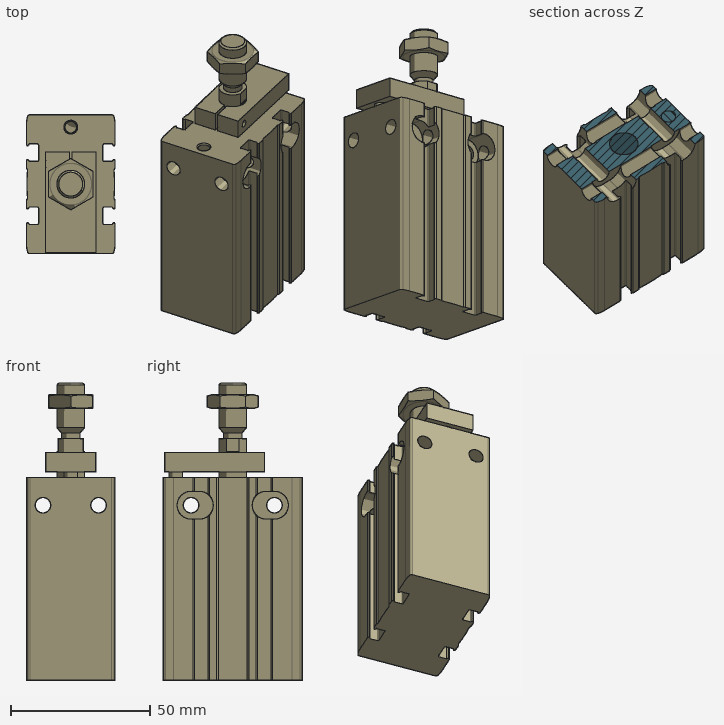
import cadquery as cq
import math


housing_width = 32.0
housing_length = 50.0
housing_height = 73.0
flank_round_start = 21.4
flank_round_radius = 10.0
corner_start = (15.6, 24.2)
corner_end_x = 14.7
corner_radius = 0.9
panel_edge_x = 15.6
panel_crown_x = 15.8
panel_half_length = 5.15
panel_step_y = 5.85

slot_center_y = 11.35
slot_half_width = 3.1
slot_half_mouth = 2.4
slot_floor_x = 11.6
slot_floor_fillet = 0.4
slot_floor_margin = 0.1
lip_half_outside = 3.0
lip_outer_x = 15.7
lip_inner_x = 15.4
lip_root_x = 14.9

mount_hole_diameter = 5.5
mount_hole_z = housing_height - 10.0
cross_hole_y = 15.0
length_hole_x = 10.0
counterbore_diameter = 10.0
counterbore_inner_y = 12.0
counterbore_depth = 9.0

port_y = 20.5
port_mouth_diameter = 5.0
port_diameter = 4.13
port_depth = 8.0
port_tip_angle = 118.0

plate_bottom = 75.0
plate_thickness = 7.0
plate_top = plate_bottom + plate_thickness
plate_width = 18.0
plate_length = 36.0
plate_back_y = 11.5
slit_width = 1.0
clamp_hole_diameter = 2.46
clamp_hole_y = 7.25

rod_diameter = 10.0
rod_insertion = 20.0
rod_bottom = housing_height - rod_insertion
rod_flat_bottom = plate_top + 0.4
rod_flat_width = 9.0
shoulder_z = 87.0
neck_diameter = 6.67
neck_top = 88.95
thread_bottom = 90.9
rod_top = 107.0
rod_tip_chamfer = 0.7
guide_rod_diameter = 5.0
guide_rod_y = -20.5
guide_recess_diameter = 7.5
guide_recess_depth = 0.2

nut_width = 16.0
nut_bottom = 97.8
nut_thickness = 5.0
nut_chamfer_circle = 15.0
nut_chamfer_drop = 0.5

rod_radius = rod_diameter / 2
neck_radius = neck_diameter / 2


def cylinder(diameter, bottom, top, y=0.0):
    return cq.Workplane("XY", origin=(0, y, bottom)).circle(diameter / 2).extrude(top - bottom)


def housing_block():
    half_width = housing_width / 2
    half_length = housing_length / 2
    corner_x, corner_y = corner_start
    return (
        cq.Workplane("XY")
        .moveTo(corner_end_x, half_length)
        .radiusArc((corner_x, corner_y), corner_radius)
        .radiusArc((half_width, flank_round_start), flank_round_radius)
        .lineTo(half_width, panel_step_y)
        .lineTo(panel_edge_x, panel_half_length)
        .threePointArc((panel_crown_x, 0), (panel_edge_x, -panel_half_length))
        .lineTo(half_width, -panel_step_y)
        .lineTo(half_width, -flank_round_start)
        .radiusArc((corner_x, -corner_y), flank_round_radius)
        .radiusArc((corner_end_x, -half_length), corner_radius)
        .lineTo(0, -half_length)
        .lineTo(0, half_length)
        .close()
        .extrude(housing_height)
        .mirror("YZ", union=True)
    )


def slot(side, center_y):
    half_profile = [
        (housing_width / 2, lip_half_outside),
        (lip_outer_x, slot_half_mouth),
        (lip_inner_x, slot_half_mouth),
        (lip_root_x, slot_half_width),
        (slot_floor_x, slot_half_width),
    ]
    upper = [(side * x, center_y + y) for x, y in half_profile]
    lower = [(side * x, center_y - y) for x, y in reversed(half_profile)]
    floor_edges = cq.selectors.BoxSelector(
        (side * (slot_floor_x - slot_floor_margin), center_y - housing_width, 0),
        (side * (slot_floor_x + slot_floor_margin), center_y + housing_width, housing_height),
    )
    return (
        cq.Workplane("XY")
        .polyline(upper + lower)
        .close()
        .extrude(housing_height)
        .edges("|Z")
        .edges(floor_edges)
        .fillet(slot_floor_fillet)
    )


def cross_hole(side):
    return (
        cq.Workplane("YZ", origin=(-housing_width, side * cross_hole_y, mount_hole_z))
        .circle(mount_hole_diameter / 2)
        .extrude(2 * housing_width)
    )


def length_hole(side):
    return (
        cq.Workplane("XZ", origin=(side * length_hole_x, housing_length, mount_hole_z))
        .circle(mount_hole_diameter / 2)
        .extrude(2 * housing_length)
    )


def counterbore(side_x, side_y):
    spacing = cross_hole_y - counterbore_inner_y
    middle_y = side_y * (cross_hole_y + counterbore_inner_y) / 2
    return (
        cq.Workplane("YZ", origin=(side_x * housing_width / 2, middle_y, mount_hole_z))
        .slot2D(spacing + counterbore_diameter, counterbore_diameter)
        .extrude(-side_x * counterbore_depth)
    )


def air_port():
    mouth_radius = port_mouth_diameter / 2
    radius = port_diameter / 2
    tip_length = radius / math.tan(math.radians(port_tip_angle / 2))
    return (
        cq.Workplane("XZ", origin=(0, port_y, housing_height))
        .polyline([
            (0, 0),
            (mouth_radius, 0),
            (radius, radius - mouth_radius),
            (radius, -port_depth),
            (0, -port_depth - tip_length),
        ])
        .close()
        .revolve(360, (0, 0, 0), (0, 1, 0))
    )


def make_housing():
    body = housing_block()
    for side_y in (-1, 1):
        body = body.cut(cross_hole(side_y)).cut(length_hole(side_y))
        for side_x in (-1, 1):
            body = body.cut(slot(side_x, side_y * slot_center_y))
            body = body.cut(counterbore(side_x, side_y))
    body = body.cut(cylinder(rod_diameter, rod_bottom, housing_height))
    body = body.cut(cylinder(guide_rod_diameter, rod_bottom, housing_height, guide_rod_y))
    recess_bottom = housing_height - guide_recess_depth
    body = body.cut(cylinder(guide_recess_diameter, recess_bottom, housing_height, guide_rod_y))
    return body.cut(air_port())


def make_guide_plate():
    plate_middle_y = plate_back_y - plate_length / 2
    plate = cq.Workplane("XY", origin=(0, plate_middle_y, plate_bottom)).box(
        plate_width, plate_length, plate_thickness, centered=(True, True, False)
    )
    slit = cq.Workplane("XY", origin=(0, 0, plate_bottom)).box(
        slit_width, plate_back_y, plate_thickness, centered=(True, False, False)
    )
    clamp_hole = (
        cq.Workplane("YZ", origin=(-plate_width / 2, clamp_hole_y, plate_bottom + plate_thickness / 2))
        .circle(clamp_hole_diameter / 2)
        .extrude(plate_width / 2)
    )
    return plate.cut(cylinder(rod_diameter, plate_bottom, plate_top)).cut(slit).cut(clamp_hole)


def make_piston_rod():
    rod = (
        cq.Workplane("XZ")
        .polyline([
            (0, rod_bottom),
            (rod_radius, rod_bottom),
            (rod_radius, shoulder_z),
            (neck_radius, shoulder_z),
            (neck_radius, neck_top),
            (rod_radius, thread_bottom),
            (rod_radius, rod_top - rod_tip_chamfer),
            (rod_radius - rod_tip_chamfer, rod_top),
            (0, rod_top),
        ])
        .close()
        .revolve(360, (0, 0, 0), (0, 1, 0))
    )
    flat_height = shoulder_z - rod_flat_bottom
    for side in (-1, 1):
        cutter_x = side * (rod_flat_width + rod_diameter) / 2
        flat_cut = cq.Workplane("XY", origin=(cutter_x, 0, rod_flat_bottom)).box(
            rod_diameter, rod_diameter, flat_height, centered=(True, True, False)
        )
        rod = rod.cut(flat_cut)
    return rod


def make_guide_rod():
    return cylinder(guide_rod_diameter, rod_bottom, plate_bottom, guide_rod_y)


def make_nut():
    hex_radius = nut_width / math.sqrt(3)
    circle_radius = nut_chamfer_circle / 2
    nut_top = nut_bottom + nut_thickness
    hexagon = (
        cq.Workplane("XY", origin=(0, 0, nut_bottom))
        .polygon(6, 2 * hex_radius)
        .extrude(nut_thickness)
        .rotate((0, 0, 0), (0, 0, 1), 30)
    )
    blank = (
        cq.Workplane("XZ")
        .polyline([
            (0, nut_bottom),
            (circle_radius, nut_bottom),
            (hex_radius, nut_bottom + nut_chamfer_drop),
            (hex_radius, nut_top - nut_chamfer_drop),
            (circle_radius, nut_top),
            (0, nut_top),
        ])
        .close()
        .revolve(360, (0, 0, 0), (0, 1, 0))
    )
    return hexagon.intersect(blank).cut(cylinder(rod_diameter, nut_bottom, nut_top))


housing = make_housing()
guide_plate = make_guide_plate()
piston_rod = make_piston_rod()
guide_rod = make_guide_rod()
nut = make_nut()

result = cq.Compound.makeCompound([
    housing.val(),
    guide_plate.val(),
    piston_rod.val(),
    guide_rod.val(),
    nut.val(),
])